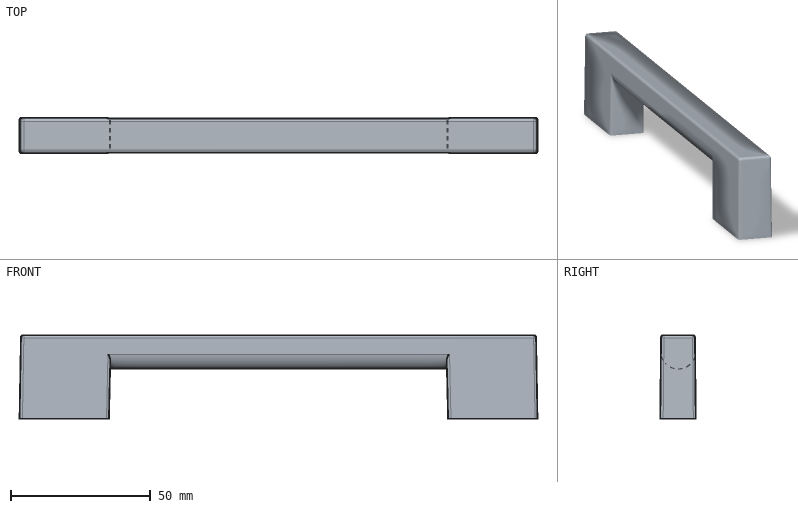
import cadquery as cq
import math

length = 185.1
width = 12.8
height = 30.0

leg_length = 32.0
end_draft = 1.0
side_draft = 0.55
inner_draft = 1.3
edge_radius = 1.0
rail_side_height = 6.8
rail_round_depth = 5.2


def rise_offset(rise, draft):
    """Sideways shift of a drafted face over a vertical rise."""
    return rise * math.tan(math.radians(draft))


def make_tapered_prism(plane, base_width, draft, depth):
    """Full-height prism, symmetric about the plane, narrowing upwards at the given draft."""
    half_base = base_width / 2
    half_top = half_base - rise_offset(height, draft)
    outline = (
        cq.Workplane(plane)
        .moveTo(-half_base, 0)
        .lineTo(half_base, 0)
        .lineTo(half_top, height)
        .lineTo(-half_top, height)
        .close()
    )
    return outline.extrude(depth / 2, both=True)


def make_envelope():
    """Drafted block with sharp edges that bounds the whole handle."""
    between_ends = make_tapered_prism("XZ", length, end_draft, width)
    between_sides = make_tapered_prism("YZ", width, side_draft, length)
    return between_ends.intersect(between_sides)


def make_legs(envelope):
    """Both legs at full height, with rounded upright corners."""
    gap_length = length - 2 * leg_length
    gap = make_tapered_prism("XZ", gap_length, inner_draft, width)
    return envelope.cut(gap).edges("not(<Z or >Z)").fillet(edge_radius)


def make_rail(envelope):
    """Rail joining the legs: flat drafted sides and a rounded underside."""
    side_bottom = height - rail_side_height
    half_width = width / 2 - rise_offset(side_bottom, side_draft)
    rail_length = length - leg_length
    profile = (
        cq.Workplane("YZ")
        .moveTo(-width, height)
        .lineTo(-width, side_bottom)
        .lineTo(-half_width, side_bottom)
        .threePointArc((0, side_bottom - rail_round_depth), (half_width, side_bottom))
        .lineTo(width, side_bottom)
        .lineTo(width, height)
        .close()
    )
    return profile.extrude(rail_length / 2, both=True).intersect(envelope)


envelope = make_envelope()
handle = make_legs(envelope).union(make_rail(envelope))
result = handle.faces(">Z").edges().fillet(edge_radius)